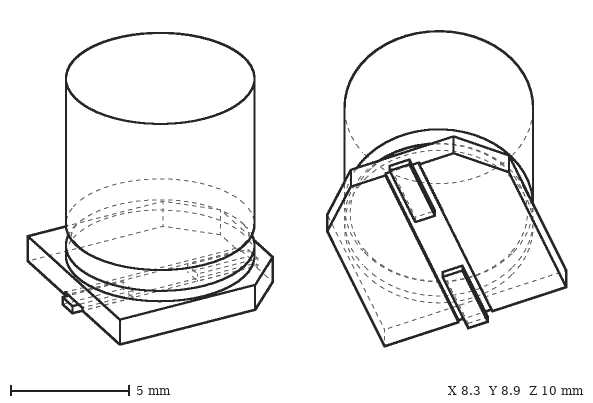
import cadquery as cq

height = 10.0
terminal_span = 8.9
terminal_length = 2.9
terminal_width = 0.9
terminal_thickness = 0.35

base_size = 8.3
base_bottom = 0.21
base_top = 1.42
base_chamfer = 1.8
slot_width = 1.54

can_radius = 4.0
groove_bottom = 1.92
groove_top = 2.93
groove_depth = 0.24


def make_base():
    """Square plate with two cut corners on +Y and a terminal slot along Y underneath."""
    plate = (
        cq.Workplane("XY", origin=(0, 0, base_bottom))
        .rect(base_size, base_size)
        .extrude(base_top - base_bottom)
        .edges("|Z and >Y")
        .chamfer(base_chamfer)
    )
    slot = cq.Workplane("XY").rect(slot_width, base_size).extrude(terminal_thickness)
    return plate.cut(slot)


def make_can():
    """Cylinder with an arc-shaped groove, revolved about Z."""
    groove_middle = (groove_bottom + groove_top) / 2
    return (
        cq.Workplane("XZ")
        .moveTo(0, base_top)
        .lineTo(can_radius, base_top)
        .lineTo(can_radius, groove_bottom)
        .threePointArc((can_radius - groove_depth, groove_middle), (can_radius, groove_top))
        .lineTo(can_radius, height)
        .lineTo(0, height)
        .close()
        .revolve(360, (0, 0), (0, 1))
    )


def make_terminal(side):
    """Flat terminal touching the slot roof and sticking out on the given Y side."""
    center_y = side * (terminal_span - terminal_length) / 2
    return (
        cq.Workplane("XY")
        .center(0, center_y)
        .rect(terminal_width, terminal_length)
        .extrude(terminal_thickness)
    )


result = make_base().union(make_can())
for side in (-1, 1):
    result = result.union(make_terminal(side))